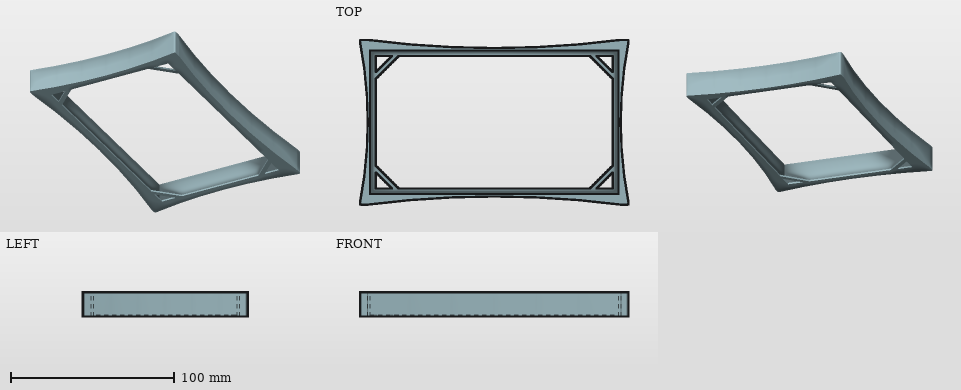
import cadquery as cq

height = 15.0
waist_length = 155.0
waist_width = 91.0
side_sag = 5.0
corner_flat = 5.0
corner_radius = 1.0

pocket_length = 152.0
pocket_width = 88.0
lip_thickness = 1.0
lip_width = 3.5

brace_inner_leg = 14.0
brace_outer_leg = 9.8

corner_x = waist_length / 2 + side_sag
corner_y = waist_width / 2 + side_sag
arc_end_x = corner_x - corner_flat
opening_length = pocket_length - 2 * lip_width
opening_width = pocket_width - 2 * lip_width


def outer_body():
    """Block with four concave sides and rounded vertical corners."""
    body = (
        cq.Workplane("XY")
        .moveTo(-arc_end_x, corner_y)
        .threePointArc((0, waist_width / 2), (arc_end_x, corner_y))
        .lineTo(corner_x, corner_y)
        .threePointArc((waist_length / 2, 0), (corner_x, -corner_y))
        .lineTo(arc_end_x, -corner_y)
        .threePointArc((0, -waist_width / 2), (-arc_end_x, -corner_y))
        .lineTo(-corner_x, -corner_y)
        .threePointArc((-waist_length / 2, 0), (-corner_x, corner_y))
        .close()
        .extrude(height)
    )
    tips = [(sx * corner_x, sy * corner_y, height / 2) for sx in (-1, 1) for sy in (-1, 1)]
    for tip in tips:
        body = body.edges(cq.selectors.NearestToPointSelector(tip)).fillet(corner_radius)
    return body


def pocket():
    """Rectangular recess above the lip."""
    return (
        cq.Workplane("XY")
        .workplane(offset=lip_thickness)
        .rect(pocket_length, pocket_width)
        .extrude(height - lip_thickness)
    )


def opening():
    """Through opening inside the lip, cut off diagonally at the corners by the braces."""
    return (
        cq.Workplane("XY")
        .rect(opening_length, opening_width)
        .extrude(lip_thickness)
        .edges("|Z")
        .chamfer(brace_inner_leg)
    )


def corner_triangle(sx, sy):
    """Triangular through hole between a brace and the corner in direction (sx, sy)."""
    x = sx * opening_length / 2
    y = sy * opening_width / 2
    return (
        cq.Workplane("XY")
        .moveTo(x, y)
        .lineTo(x - sx * brace_outer_leg, y)
        .lineTo(x, y - sy * brace_outer_leg)
        .close()
        .extrude(lip_thickness)
    )


result = outer_body().cut(pocket()).cut(opening())
for side_x in (-1, 1):
    for side_y in (-1, 1):
        result = result.cut(corner_triangle(side_x, side_y))